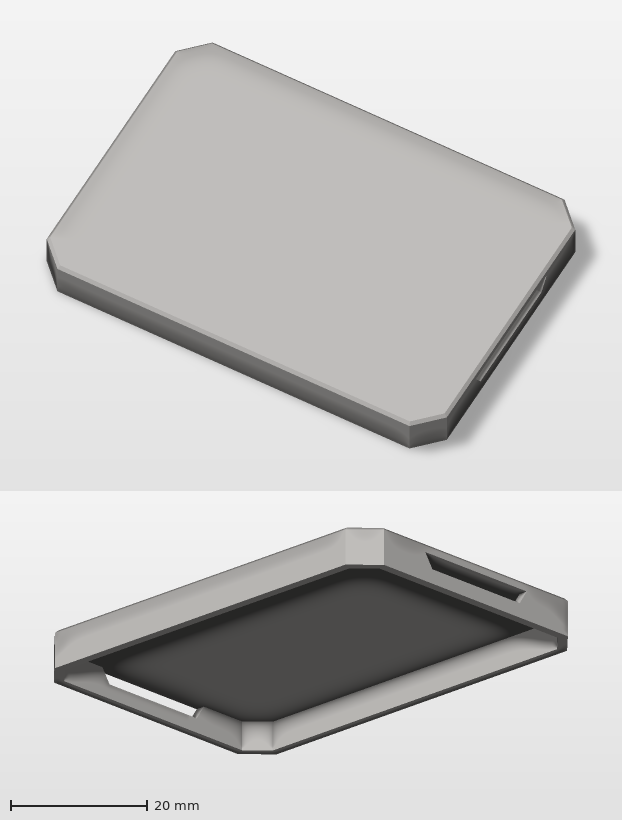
import cadquery as cq
import math

length = 67.0
width = 47.0
height = 6.0
corner_cut = 4.0
top_chamfer = 0.5

wall = 1.5
roof = 1.5
cavity_height = height - roof
cavity_corner_cut = corner_cut - wall * (2 - math.sqrt(2))

slot_top_width = 21.5
slot_bottom_width = 18.5
slot_height = 2.3
slot_bottom = cavity_height - slot_height


def cut_corner_block(size_x, size_y, size_z, corner):
    """Rectangular block on Z = 0 with its four vertical edges cut off."""
    block = cq.Workplane("XY").rect(size_x, size_y).extrude(size_z)
    return block.edges("|Z").chamfer(corner)


def end_slot():
    """Trapezoidal prism running along X through both end walls."""
    outline = [
        (-slot_bottom_width / 2, slot_bottom),
        (slot_bottom_width / 2, slot_bottom),
        (slot_top_width / 2, cavity_height),
        (-slot_top_width / 2, cavity_height),
    ]
    return cq.Workplane("YZ").polyline(outline).close().extrude(length / 2, both=True)


body = cut_corner_block(length, width, height, corner_cut)
body = body.faces(">Z").edges().chamfer(top_chamfer)

cavity = cut_corner_block(length - 2 * wall, width - 2 * wall, cavity_height, cavity_corner_cut)

result = body.cut(cavity).cut(end_slot())